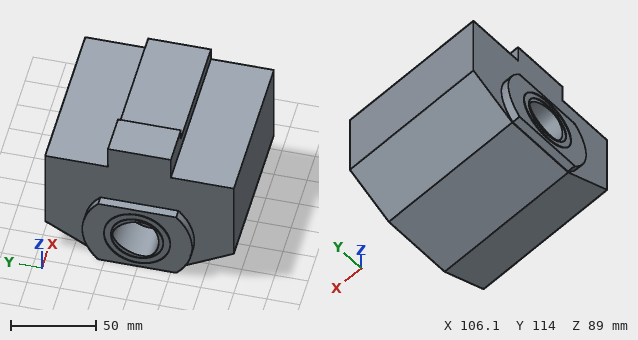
import cadquery as cq
import math

block_length = 100.0
block_width = 114
shoulder_height = 74.1
bevel_height = 19.2
bevel_angle = 30
bevel_width = bevel_height / math.tan(math.radians(bevel_angle))

key_width = 38.0
key_height = 82.2
key_head_height = 89.0
key_head_length = 25.0

bore_height = 23.9
flange_diameter = 66.3
flange_flats = 46.7
flange_thickness = 5.6
ring_outer_diameter = 40.0
ring_inner_diameter = 31.6
ring_thickness = 0.5

socket_mean_radius = 13.9
socket_lobe_height = 0.9
socket_depth = 22.8
socket_taper = 0.6
socket_points = 36


def top_bar(length, height):
    """Bar of the key width, from the base up to the given height."""
    return cq.Workplane("XY").box(length, key_width, height, centered=(False, True, False))


def lobe_points(mean_radius):
    """Closed constant-width curve with three lobes, one of them towards +Y."""
    points = []
    for index in range(socket_points):
        angle = 2 * math.pi * index / socket_points
        reach = socket_lobe_height * math.cos(3 * angle)
        turn = -3 * socket_lobe_height * math.sin(3 * angle)
        along = (mean_radius + reach) * math.cos(angle) - turn * math.sin(angle)
        across = (mean_radius + reach) * math.sin(angle) + turn * math.cos(angle)
        points.append((along, across))
    return points


def face_plane(x):
    """Plane facing +X, centred on the bore axis, with local x along Y."""
    return cq.Workplane("YZ", origin=(x, 0, bore_height))


half_width = block_width / 2
half_base = half_width - bevel_width
block = (
    cq.Workplane("YZ")
    .polyline([
        (-half_base, 0),
        (half_base, 0),
        (half_width, bevel_height),
        (half_width, shoulder_height),
        (-half_width, shoulder_height),
        (-half_width, bevel_height),
    ])
    .close()
    .extrude(block_length)
)
key = top_bar(block_length, key_height).union(top_bar(key_head_length, key_head_height))

flange_face = -flange_thickness
flange = (
    face_plane(flange_face)
    .circle(flange_diameter / 2)
    .extrude(flange_thickness)
    .intersect(face_plane(flange_face).rect(flange_diameter, flange_flats).extrude(flange_thickness))
)
ring = (
    face_plane(flange_face - ring_thickness)
    .circle(ring_outer_diameter / 2)
    .circle(ring_inner_diameter / 2)
    .extrude(ring_thickness)
)

socket = (
    face_plane(flange_face)
    .spline(lobe_points(socket_mean_radius), periodic=True)
    .close()
    .workplane(offset=socket_depth)
    .spline(lobe_points(socket_mean_radius - socket_taper), periodic=True)
    .close()
    .loft(combine=True)
)

result = block.union(key).union(flange).union(ring).cut(socket)